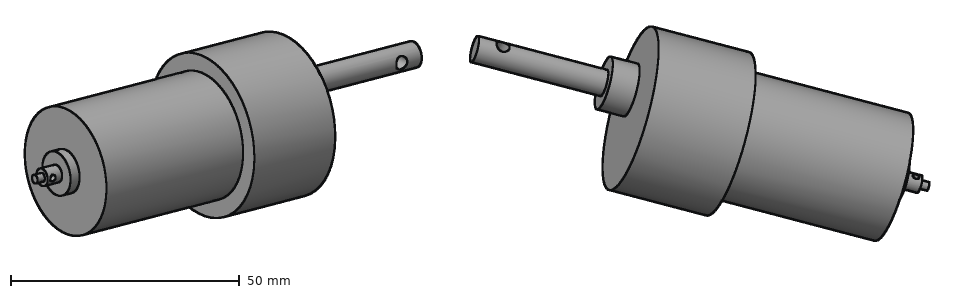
import cadquery as cq

pin_diameter, pin_length = 2.0, 2.0
stub_diameter, stub_length = 4.0, 4.0
collar_diameter, collar_length = 10.0, 2.5
body_diameter, body_length = 29.0, 37.9
head_diameter, head_length = 37.0, 22.5
boss_diameter, boss_length = 12.0, 6.2
shaft_diameter, shaft_length = 6.0, 30.0

shaft_offset = 6.0

stub_hole_diameter = 1.5
stub_hole_from_tip = 3.5
shaft_hole_diameter = 3.0
shaft_hole_from_end = 5.6

sections = [
    (pin_diameter, pin_length, 0),
    (stub_diameter, stub_length, 0),
    (collar_diameter, collar_length, 0),
    (body_diameter, body_length, 0),
    (head_diameter, head_length, 0),
    (boss_diameter, boss_length, shaft_offset),
    (shaft_diameter, shaft_length, shaft_offset),
]
total_length = sum(length for _, length, _ in sections)
tip_y = -total_length / 2
shaft_end_y = total_length / 2


def stacked_cylinders():
    """Join the sections end to end along Y, centred on the origin."""
    solid = cq.Workplane("XY")
    y = tip_y
    for diameter, length, axis_z in sections:
        start = cq.Vector(0, y, axis_z)
        cylinder = cq.Solid.makeCylinder(diameter / 2, length, start, cq.Vector(0, 1, 0))
        solid = solid.union(cq.Workplane(cylinder))
        y += length
    return solid


def cross_hole(hole_diameter, y, z):
    """Cutter along X that passes through the whole part."""
    return (
        cq.Workplane("YZ")
        .center(y, z)
        .circle(hole_diameter / 2)
        .extrude(head_diameter / 2, both=True)
    )


stub_hole = cross_hole(stub_hole_diameter, tip_y + stub_hole_from_tip, 0)
shaft_hole = cross_hole(shaft_hole_diameter, shaft_end_y - shaft_hole_from_end, shaft_offset)
result = stacked_cylinders().cut(stub_hole).cut(shaft_hole)